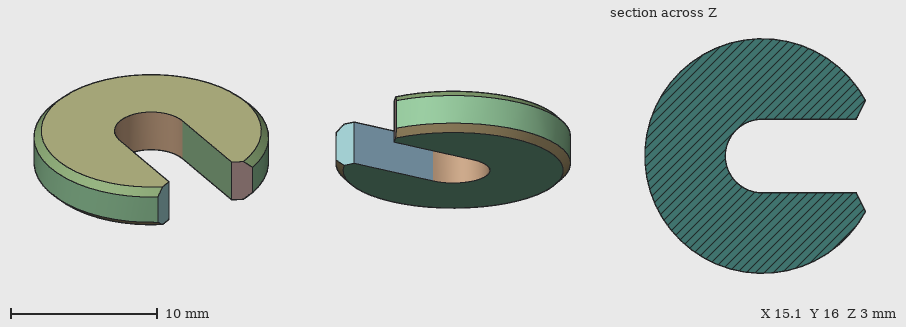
import math
import cadquery as cq

outer_radius = 8.0
thickness = 3.0
edge_chamfer = 0.5
slot_width = 5.0
slot_radius = slot_width / 2

mouth_tip_x = 7.05
mouth_tip_y = math.sqrt(outer_radius**2 - mouth_tip_x**2)
mouth_inner_x = 6.42
mouth_flare = (mouth_tip_y - slot_radius) / (mouth_tip_x - mouth_inner_x)
cutter_overshoot = 1.0
cutter_reach = outer_radius + cutter_overshoot
cutter_half_width = slot_radius + mouth_flare * (cutter_reach - mouth_inner_x)


def make_disc():
    """Round disc with both outer rims chamfered."""
    disc = cq.Workplane("XY").circle(outer_radius).extrude(thickness)
    return disc.faces("<Z or >Z").edges().chamfer(edge_chamfer)


def make_slot_cutter():
    """Round-ended slot from the disc centre, widening at its mouth."""
    return (
        cq.Workplane("XY")
        .moveTo(0, slot_radius)
        .threePointArc((-slot_radius, 0), (0, -slot_radius))
        .lineTo(mouth_inner_x, -slot_radius)
        .lineTo(cutter_reach, -cutter_half_width)
        .lineTo(cutter_reach, cutter_half_width)
        .lineTo(mouth_inner_x, slot_radius)
        .close()
        .extrude(thickness)
    )


result = make_disc().cut(make_slot_cutter())